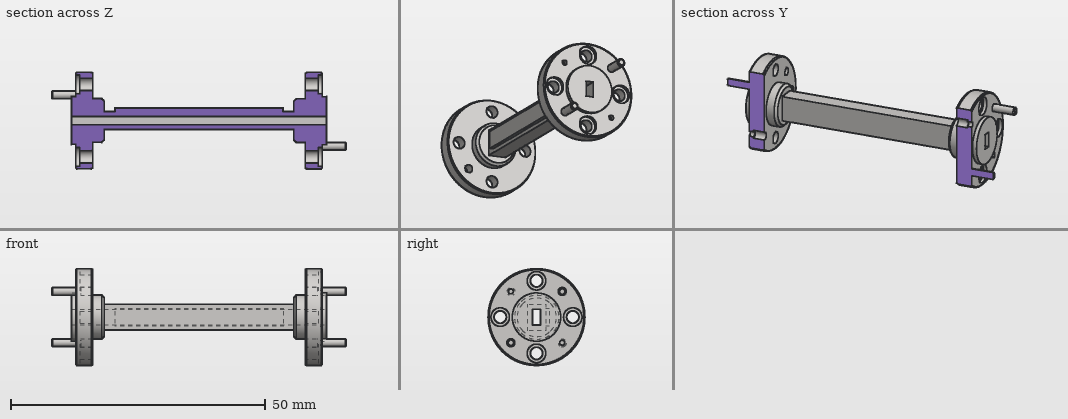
import cadquery as cq
import math


total_length = 58.0

flange_diameter = 19.1
flange_thickness = 3.35
mating_edge_chamfer = 0.25
rear_edge_chamfer_length = 0.35
rear_edge_chamfer_depth = 0.2
boss_diameter = 9.5
boss_height = 0.85

hub_diameter = 8.7
hub_length = 2.25
hub_chamfer = 0.5

pitch_radius = 7.15
screw_hole_diameter = 2.4
counterbore_diameter = 3.65
counterbore_depth = 0.75
pin_diameter = 1.55
pin_reach = 4.75
pin_chamfer = 0.25
pilot_hole_diameter = 1.0
rear_bore_diameter = 1.55
rear_bore_depth = 2.4

tube_width = 3.6
tube_height = 5.1
bore_width = 1.55
bore_height = 3.1
plate_length = 33.05
plate_thickness = 0.7
plate_height = 3.5

mating_plane = -total_length / 2 + pin_reach
flange_rear = mating_plane + flange_thickness
hub_end = flange_rear + hub_length
boss_plane = mating_plane - boss_height


def cylinder(start_x, length, diameter, y=0.0, z=0.0):
    """Cylinder running toward +X from start_x."""
    return cq.Workplane("YZ", origin=(start_x, y, z)).circle(diameter / 2).extrude(length)


def on_pitch_circle(angle):
    """Y and Z of a place on the pitch circle, with the angle in degrees from +Y toward +Z."""
    radians = math.radians(angle)
    return pitch_radius * math.cos(radians), pitch_radius * math.sin(radians)


def flange_body():
    """Boss, disc and hub turned about the X axis as one profile."""
    flange_radius = flange_diameter / 2
    boss_radius = boss_diameter / 2
    hub_radius = hub_diameter / 2
    profile = [
        (boss_plane, 0),
        (boss_plane, boss_radius),
        (mating_plane, boss_radius),
        (mating_plane, flange_radius - mating_edge_chamfer),
        (mating_plane + mating_edge_chamfer, flange_radius),
        (flange_rear - rear_edge_chamfer_length, flange_radius),
        (flange_rear, flange_radius - rear_edge_chamfer_depth),
        (flange_rear, hub_radius),
        (hub_end - hub_chamfer, hub_radius),
        (hub_end, hub_radius - hub_chamfer),
        (hub_end, 0),
    ]
    return cq.Workplane("XY").polyline(profile).close().revolve(360, (0, 0, 0), (1, 0, 0))


def flange():
    """Complete flange for the -X end."""
    body = flange_body()

    for angle in (0, 90, 180, 270):
        y, z = on_pitch_circle(angle)
        body = body.cut(cylinder(mating_plane, flange_thickness, screw_hole_diameter, y, z))
        body = body.cut(cylinder(mating_plane, counterbore_depth, counterbore_diameter, y, z))

    for angle in (45, 225):
        y, z = on_pitch_circle(angle)
        body = body.cut(cylinder(mating_plane, flange_thickness, pilot_hole_diameter, y, z))
        body = body.cut(cylinder(flange_rear - rear_bore_depth, rear_bore_depth, rear_bore_diameter, y, z))

    pin_length = pin_reach + flange_thickness / 2
    for angle in (135, 315):
        y, z = on_pitch_circle(angle)
        pin = cylinder(-total_length / 2, pin_length, pin_diameter, y, z)
        body = body.union(pin.faces("<X").chamfer(pin_chamfer))

    return body


near_flange = flange()
far_flange = near_flange.rotate((0, 0, 0), (0, 0, 1), 180)

tube_length = -2 * flange_rear
tube = cq.Workplane("XY").box(tube_length, tube_width, tube_height)

plate = (
    cq.Workplane("XY")
    .box(plate_length, plate_thickness, plate_height)
    .translate((0, (tube_width + plate_thickness) / 2, 0))
)

bore = cq.Workplane("XY").box(total_length, bore_width, bore_height)

result = near_flange.union(far_flange).union(tube).union(plate).cut(bore)